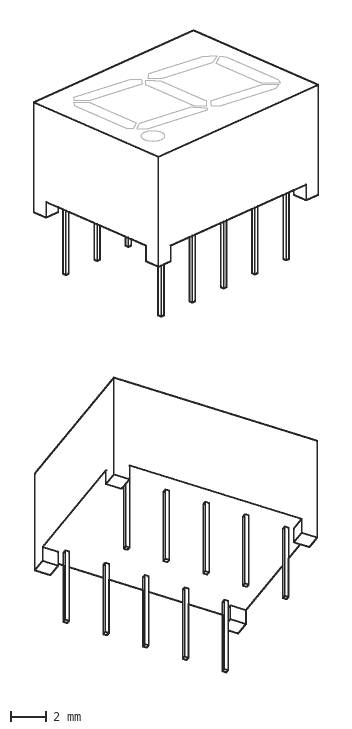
import cadquery as cq
import math

BODY_LENGTH_X = 10.0
BODY_LENGTH_Y = 13.0
BODY_HEIGHT = 6.0
FOOT_SIZE = 1.0
FOOT_HEIGHT = 1.0
BODY_TOP = FOOT_HEIGHT + BODY_HEIGHT

PIN_WIDTH = 0.25
PIN_LENGTH = 5.0
PIN_PITCH = 2.54
PINS_PER_ROW = 5
ROW_SPACING = 3 * PIN_PITCH

INLAY_DEPTH = 0.5
DIGIT_SLANT = math.radians(10.0)
DOT_DIAMETER = 1.35
DOT_CENTER = (2.86, -4.80)

LEFT_OUTER = -3.06
UPPER_LEFT_INNER = -2.10
LOWER_LEFT_INNER = -2.19
RIGHT_INNER = 1.91
RIGHT_OUTER = 2.77


def level_segment(y_top, y_bottom, top_ends, bottom_ends, left_tip, right_tip):
    """Outline of a segment along X: two parallel long edges, each end closed to a pointed tip."""
    return [
        (top_ends[0], y_top),
        (top_ends[1], y_top),
        right_tip,
        (bottom_ends[1], y_bottom),
        (bottom_ends[0], y_bottom),
        left_tip,
    ]


def upright_segment(x_left, x_right, left_ends, right_ends, top_tip, bottom_tip):
    """Outline of a slanted upright segment; each long edge runs between its lower and upper Y."""

    def on_edge(x_at_zero, y):
        return (x_at_zero + y * math.tan(DIGIT_SLANT), y)

    return [
        top_tip,
        on_edge(x_right, right_ends[1]),
        on_edge(x_right, right_ends[0]),
        bottom_tip,
        on_edge(x_left, left_ends[0]),
        on_edge(x_left, left_ends[1]),
    ]


def digit_outlines():
    top = level_segment(
        y_top=5.37, y_bottom=4.38,
        top_ends=(-1.27, 2.87), bottom_ends=(-1.13, 2.45),
        left_tip=(-1.60, 5.17), right_tip=(3.26, 5.17),
    )
    middle = level_segment(
        y_top=0.55, y_bottom=-0.39,
        top_ends=(-1.81, 1.86), bottom_ends=(-2.08, 1.82),
        left_tip=(-2.45, -0.03), right_tip=(2.33, 0.11),
    )
    bottom = level_segment(
        y_top=-4.27, y_bottom=-5.16,
        top_ends=(-2.70, 1.01), bottom_ends=(-3.04, 1.14),
        left_tip=(-3.38, -4.90), right_tip=(1.40, -4.90),
    )
    upper_left = upright_segment(
        LEFT_OUTER, UPPER_LEFT_INNER,
        left_ends=(0.72, 4.48), right_ends=(0.81, 4.33),
        top_tip=(-1.76, 5.11), bottom_tip=(-2.54, 0.29),
    )
    lower_left = upright_segment(
        LEFT_OUTER, LOWER_LEFT_INNER,
        left_ends=(-4.43, -0.48), right_ends=(-4.04, -0.45),
        top_tip=(-2.70, -0.07), bottom_tip=(-3.54, -4.69),
    )
    upper_right = upright_segment(
        RIGHT_INNER, RIGHT_OUTER,
        left_ends=(0.71, 4.35), right_ends=(0.63, 4.48),
        top_tip=(3.32, 4.99), bottom_tip=(2.55, 0.28),
    )
    lower_right = upright_segment(
        RIGHT_INNER, RIGHT_OUTER,
        left_ends=(-4.17, -0.63), right_ends=(-4.44, -0.24),
        top_tip=(2.54, -0.07), bottom_tip=(1.55, -4.78),
    )
    return [top, middle, bottom, upper_left, lower_left, upper_right, lower_right]


def make_body():
    body = cq.Workplane("XY", origin=(0, 0, FOOT_HEIGHT)).box(
        BODY_LENGTH_X, BODY_LENGTH_Y, BODY_HEIGHT, centered=(True, True, False)
    )
    feet = (
        cq.Workplane("XY")
        .rect(BODY_LENGTH_X - FOOT_SIZE, BODY_LENGTH_Y - FOOT_SIZE, forConstruction=True)
        .vertices()
        .rect(FOOT_SIZE, FOOT_SIZE)
        .extrude(FOOT_HEIGHT)
    )
    return body.union(feet)


def make_pins():
    return (
        cq.Workplane("XY", origin=(0, 0, FOOT_HEIGHT))
        .rarray(ROW_SPACING, PIN_PITCH, 2, PINS_PER_ROW)
        .rect(PIN_WIDTH, PIN_WIDTH)
        .extrude(-PIN_LENGTH)
    )


def make_inlays():
    top_face = cq.Workplane("XY", origin=(0, 0, BODY_TOP))
    inlays = top_face.center(*DOT_CENTER).circle(DOT_DIAMETER / 2).extrude(-INLAY_DEPTH)
    for outline in digit_outlines():
        inlays = inlays.add(top_face.polyline(outline).close().extrude(-INLAY_DEPTH))
    return inlays.combine()


display = make_body().union(make_pins()).union(make_inlays(), clean=False)
result = cq.Workplane("XY").newObject([display.solids().val()])